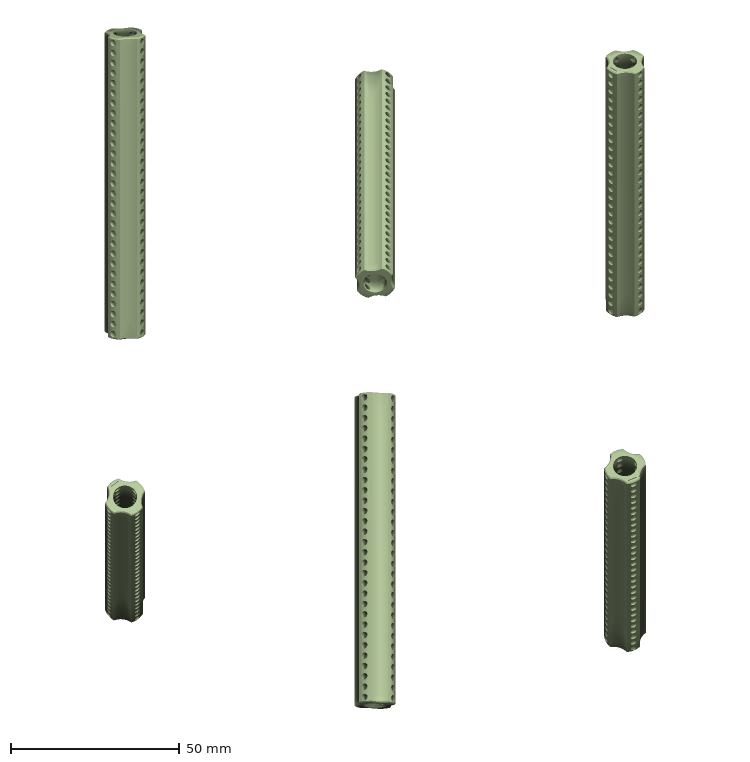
import cadquery as cq
import math

length = 93.75
outer_diameter = 12.5
lobe_count = 4
lobe_half_width = 2.2
flute_root_radius = 5.0
end_chamfer = 0.33

bore_diameter = 7.1
partition_top = 10.9
partition_thickness = 1.5
partition_core_diameter = 5.8
center_hole_diameter = 3.0

holes_per_row = 30
side_hole_diameter = 2.0
side_hole_depth = 3.75

slot_length = 2.7
slot_width = 0.3
slot_depth = 0.4
slot_radius = 5.1

outer_radius = outer_diameter / 2
lobe_half_angle = math.asin(lobe_half_width / outer_radius)
lobe_step = 2 * math.pi / lobe_count
hole_pitch = length / holes_per_row
partition_bottom = partition_top - partition_thickness


def polar(radius, angle):
    """Point at this distance and direction from the axis."""
    return (radius * math.cos(angle), radius * math.sin(angle))


def fluted_bar():
    """Solid bar with round lobes and a concave flute between neighbouring lobes."""
    outline = cq.Workplane("XY").moveTo(*polar(outer_radius, -lobe_half_angle))
    for i in range(lobe_count):
        lobe_middle = i * lobe_step
        lobe_end = lobe_middle + lobe_half_angle
        flute_middle = lobe_middle + lobe_step / 2
        flute_end = lobe_middle + lobe_step - lobe_half_angle
        outline = outline.threePointArc(polar(outer_radius, lobe_middle), polar(outer_radius, lobe_end))
        outline = outline.threePointArc(polar(flute_root_radius, flute_middle), polar(outer_radius, flute_end))
    bar = outline.close().extrude(length)
    return bar.faces("<Z or >Z").chamfer(end_chamfer)


def cylinder(diameter, bottom, top):
    """Cylinder on the Z axis between two heights."""
    return cq.Workplane("XY").workplane(offset=bottom).circle(diameter / 2).extrude(top - bottom)


def side_hole_row(direction):
    """Evenly spaced holes drilled inwards through the lobe that faces this direction."""
    holes = cq.Workplane("XY")
    for i in range(holes_per_row):
        start = direction * outer_radius + cq.Vector(0, 0, (i + 0.5) * hole_pitch)
        holes.add(cq.Solid.makeCylinder(side_hole_diameter / 2, side_hole_depth, start, -direction))
    return holes.combine()


def index_slot():
    """Shallow straight slot cut down from the top face."""
    floor = cq.Workplane("XY").workplane(offset=length - slot_depth).center(0, slot_radius)
    return floor.rect(slot_length, slot_width).extrude(slot_depth)


result = fluted_bar()
result = result.cut(cylinder(bore_diameter, partition_top, length))
result = result.cut(cylinder(bore_diameter, 0, partition_bottom))

for lobe in range(lobe_count):
    result = result.cut(side_hole_row(cq.Vector(*polar(1, lobe * lobe_step))))

result = result.union(cylinder(partition_core_diameter, partition_bottom, partition_top))
result = result.cut(cylinder(center_hole_diameter, partition_bottom, partition_top))

result = result.cut(index_slot())